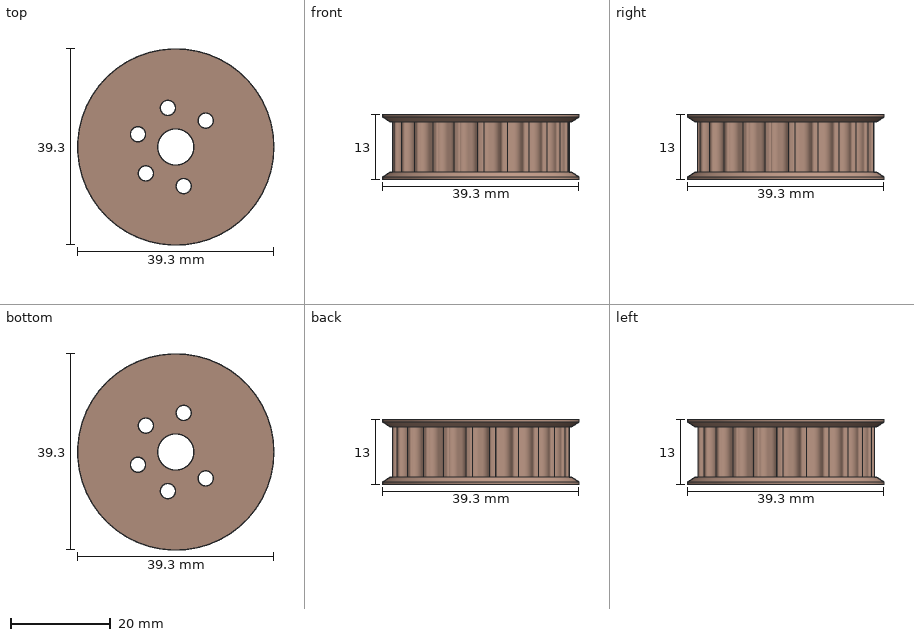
import cadquery as cq
import math


flange_radius = 19.65
flange_inner_radius = 18.15
rim_height = 0.5
bevel_height = 1.0
flange_height = rim_height + bevel_height

total_height = 13.0
drum_height = total_height - 2 * flange_height
tooth_count = 23
tip_radius = 17.75
groove_depth = 2.0
groove_flat_width = 0.83
groove_corner_radius = 1.3
tip_fillet_radius = 0.45
first_groove_angle = 90.0

bore_diameter = 7.2
bolt_hole_diameter = 3.0
bolt_circle_radius = 8.0
bolt_hole_count = 5
bolt_hole_spacing = 60.0
first_bolt_hole_angle = 41.4


def polar(radius, angle):
    """Point at the given radius and angle in radians."""
    return radius * math.cos(angle), radius * math.sin(angle)


def toward(start, end, distance):
    """Point at the given distance from start on the way to end."""
    share = distance / math.dist(start, end)
    return tuple(a + share * (b - a) for a, b in zip(start, end))


def groove_half_profile():
    """Points of one half groove, centred on the +X axis, from the floor out to the tooth tip."""
    floor_x = tip_radius - groove_depth
    floor_end = (floor_x, groove_flat_width / 2)
    corner_centre = (floor_x + groove_corner_radius, groove_flat_width / 2)

    fillet_centre_radius = tip_radius - tip_fillet_radius
    centre_gap = groove_corner_radius + tip_fillet_radius
    corner_centre_radius = math.hypot(*corner_centre)
    cosine = (fillet_centre_radius**2 + corner_centre_radius**2 - centre_gap**2) / (
        2 * fillet_centre_radius * corner_centre_radius
    )
    fillet_angle = math.atan2(corner_centre[1], corner_centre[0]) + math.acos(cosine)
    fillet_centre = polar(fillet_centre_radius, fillet_angle)

    flank_end = toward(corner_centre, fillet_centre, groove_corner_radius)
    tip_point = polar(tip_radius, fillet_angle)

    flank_chord_middle = toward(floor_end, flank_end, math.dist(floor_end, flank_end) / 2)
    flank_middle = toward(corner_centre, flank_chord_middle, groove_corner_radius)
    fillet_chord_middle = toward(flank_end, tip_point, math.dist(flank_end, tip_point) / 2)
    fillet_middle = toward(fillet_centre, fillet_chord_middle, tip_fillet_radius)
    return floor_end, flank_middle, flank_end, fillet_middle, tip_point


def make_drum():
    """Toothed drum, drawn groove by groove around the axis."""
    half_profile = groove_half_profile()
    pitch_angle = 2 * math.pi / tooth_count

    def placed(point, angle, side):
        x, y = point[0], side * point[1]
        return (
            x * math.cos(angle) - y * math.sin(angle),
            x * math.sin(angle) + y * math.cos(angle),
        )

    start_angle = math.radians(first_groove_angle)
    outline = cq.Workplane("XY").workplane(offset=flange_height)
    outline = outline.moveTo(*placed(half_profile[-1], start_angle, -1))
    for index in range(tooth_count):
        angle = start_angle + index * pitch_angle
        entry = [placed(point, angle, -1) for point in reversed(half_profile)]
        leave = [placed(point, angle, 1) for point in half_profile]
        next_tip = placed(half_profile[-1], angle + pitch_angle, -1)
        land_middle = polar(tip_radius, angle + pitch_angle / 2)
        outline = (
            outline.threePointArc(entry[1], entry[2])
            .threePointArc(entry[3], entry[4])
            .lineTo(*leave[0])
            .threePointArc(leave[1], leave[2])
            .threePointArc(leave[3], leave[4])
            .threePointArc(land_middle, next_tip)
        )
    return outline.close().extrude(drum_height)


def make_flange():
    """Bottom flange: a thin straight rim, then a bevel up to the inner face."""
    return (
        cq.Workplane("XZ")
        .lineTo(flange_radius, 0)
        .lineTo(flange_radius, rim_height)
        .lineTo(flange_inner_radius, flange_height)
        .lineTo(0, flange_height)
        .close()
        .revolve(360, (0, 0), (0, 1))
    )


def make_holes():
    """Cutters for the centre bore and the bolt holes, all right through."""
    bore = cq.Workplane("XY").circle(bore_diameter / 2).extrude(total_height)
    bolt_centres = [
        polar(bolt_circle_radius, math.radians(first_bolt_hole_angle + index * bolt_hole_spacing))
        for index in range(bolt_hole_count)
    ]
    bolt_holes = (
        cq.Workplane("XY")
        .pushPoints(bolt_centres)
        .circle(bolt_hole_diameter / 2)
        .extrude(total_height)
    )
    return bore.union(bolt_holes)


bottom_flange = make_flange()
top_flange = bottom_flange.mirror("XY").translate((0, 0, total_height))
result = make_drum().union(bottom_flange).union(top_flange).cut(make_holes())